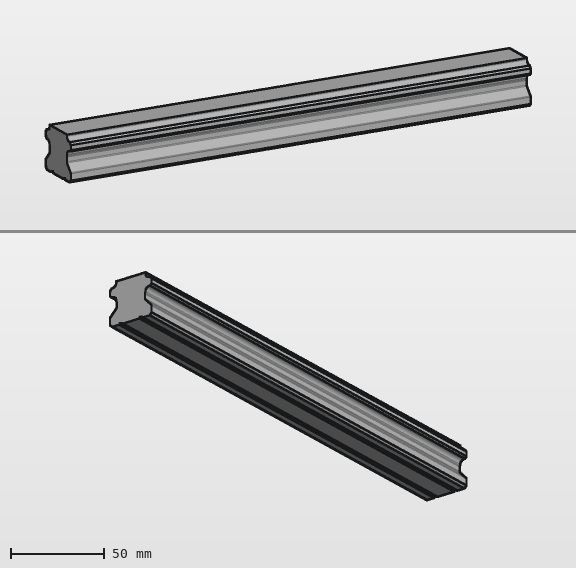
import cadquery as cq
import math

length = 280.0
width = 28.0
height = 26.0
half_width = width / 2

web_half = 9.5

land_half = 9.8
land_edge = 0.8
wing_top = 22.7
wing_bottom = 18.5
wing_top_chamfer_width = 1.0
wing_top_chamfer_height = 1.5
cove_radius = height - land_edge - wing_top

wing_bottom_chamfer = 1.0
hollow_radius = 2.5
web_blend_inset = 0.3
web_top = 13.7
web_top_fillet = 2.8

shoulder_top = 10.5
shoulder_bottom = 5.5
shoulder_fillet = 0.8
base_chamfer = 1.5

groove_offset = 6.7
groove_width = 2.0
groove_depth = 0.8

diagonal = math.sqrt(0.5)


def half_rail():
    """Extrude the +X half of the rail, from the centre plane outwards."""
    chamfer_end_x = half_width - wing_bottom_chamfer
    chamfer_end_z = wing_bottom - wing_bottom_chamfer
    blend_x = web_half + web_blend_inset
    hollow_x = blend_x + hollow_radius
    hollow_z = chamfer_end_z - hollow_radius
    cove_x = land_half + cove_radius
    cove_z = wing_top + cove_radius

    outline = (
        cq.Workplane("XZ", origin=(0, length / 2, 0))
        .lineTo(groove_offset - groove_width / 2, 0)
        .threePointArc((groove_offset, groove_depth), (groove_offset + groove_width / 2, 0))
        .lineTo(half_width - base_chamfer, 0)
        .lineTo(half_width, base_chamfer)
        .lineTo(half_width, shoulder_bottom)
        .lineTo(web_half, shoulder_top)
        .lineTo(web_half, web_top)
        .lineTo(blend_x, hollow_z)
        .threePointArc(
            (hollow_x - hollow_radius * diagonal, hollow_z + hollow_radius * diagonal),
            (hollow_x, chamfer_end_z),
        )
        .lineTo(chamfer_end_x, chamfer_end_z)
        .lineTo(half_width, wing_bottom)
        .lineTo(half_width, wing_top - wing_top_chamfer_height)
        .lineTo(half_width - wing_top_chamfer_width, wing_top)
        .lineTo(cove_x, wing_top)
        .threePointArc(
            (cove_x - cove_radius * diagonal, cove_z - cove_radius * diagonal),
            (land_half, cove_z),
        )
        .lineTo(land_half, height)
        .lineTo(0, height)
        .close()
    )
    return outline.extrude(length)


def round_edges(half):
    """Round the edges where the web meets its blend and where the shoulder starts and ends."""
    rounded_edges = (
        (web_half, web_top, web_top_fillet),
        (web_half, shoulder_top, shoulder_fillet),
        (half_width, shoulder_bottom, shoulder_fillet),
    )
    for x, z, radius in rounded_edges:
        half = half.edges(cq.NearestToPointSelector((x, 0, z))).fillet(radius)
    return half


right_half = round_edges(half_rail())
result = right_half.union(right_half.mirror("YZ")).clean()